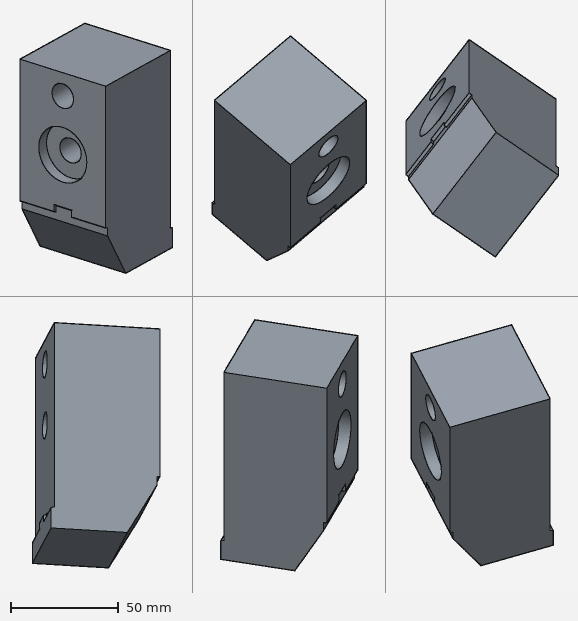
import cadquery as cq
import math

total_height = 101.5
total_depth = 51.6
block_width = 50.0
block_depth = 50.0

joint_slope = math.tan(math.radians(20))
jaw_shift = total_depth - block_depth

jaw_back_height = 10.0
jaw_bottom_depth = 36.0
nose_slope = math.tan(math.radians(60))

tongue_width = 10.3
tongue_rise = 3.1
groove_clearance = 0.6

hole_diameter = 12.5
upper_hole_drop = 12.0
lower_hole_drop = 42.0
counterbore_diameter = 28.0
counterbore_depth = 6.0

body_front = 0.0
body_back = block_depth
jaw_front = jaw_shift
jaw_back = total_depth


def joint_height(y):
    """Height of the sloped joint at depth y."""
    return jaw_back_height + (total_depth - y) * joint_slope


def side_prism(points, width):
    """Extrude a (Y, Z) outline along X, centred on the part's mid plane."""
    return cq.Workplane("YZ").polyline(points).close().extrude(width / 2, both=True)


def sloped_strip(front, back, rise):
    """Bar as wide as the tongue, lying on the joint from front to back."""
    return side_prism(
        [
            (front, joint_height(front)),
            (back, joint_height(back)),
            (back, joint_height(back) + rise),
            (front, joint_height(front) + rise),
        ],
        tongue_width,
    )


def make_body():
    body = side_prism(
        [
            (body_front, joint_height(body_front)),
            (body_back, joint_height(body_back)),
            (body_back, total_height),
            (body_front, total_height),
        ],
        block_width,
    )
    groove = sloped_strip(body_front, body_back, tongue_rise + groove_clearance)
    return body.cut(groove)


def make_jaw():
    nose_depth = block_depth - jaw_bottom_depth
    jaw = side_prism(
        [
            (jaw_back, 0),
            (jaw_back, joint_height(jaw_back)),
            (jaw_front, joint_height(jaw_front)),
            (jaw_front, nose_depth * nose_slope),
            (jaw_front + nose_depth, 0),
        ],
        block_width,
    )
    return jaw.union(sloped_strip(jaw_front, jaw_back, tongue_rise))


def front_bore(drop, diameter, depth):
    """Cylinder going back from the front face, its axis a given drop below the top."""
    axis_start = cq.Workplane("XZ", origin=(0, body_front, total_height - drop))
    return axis_start.circle(diameter / 2).extrude(-depth)


result = make_body().union(make_jaw())
for hole_drop in (upper_hole_drop, lower_hole_drop):
    result = result.cut(front_bore(hole_drop, hole_diameter, total_depth))
result = result.cut(front_bore(lower_hole_drop, counterbore_diameter, counterbore_depth))